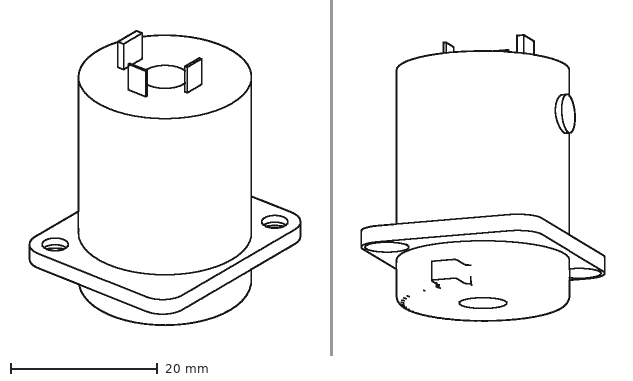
import cadquery as cq
import math

plate_width = 26.0
plate_length = 31.0
total_height = 36.5
plate_bottom = 6.0
plate_thickness = 2.25
corner_radius = 3.5

barrel_radius = 11.8
bore_radius = 3.25
terminal_height = 3.98
barrel_height = total_height - terminal_height
nose_fillet = 1.0

hole_diameter = 3.55
countersink_diameter = 6.0
countersink_angle = 90
hole_x = plate_width / 2 - corner_radius
hole_y = plate_length / 2 - corner_radius

button_radius = 2.63
button_height = 25.5
button_face_x = -12.4

tab_height = 2.63
tab_corner_radius = 0.4
tab_flare_radius = 0.88
tab_flare_start_y = 12.38
tab_end_y = plate_length / 2

blade_width = 3.05
terminals = [
    (-6.17, 0, 1.02, 4.0),
    (5.0, 0, 0.4, blade_width),
    (0, -5.85, blade_width, 0.3),
]


def make_barrel():
    barrel = cq.Workplane("XY").circle(barrel_radius).extrude(barrel_height)
    return barrel.faces("<Z").edges().fillet(nose_fillet)


def make_plate():
    plate = (
        cq.Workplane("XY", origin=(0, 0, plate_bottom))
        .rect(plate_width, plate_length)
        .extrude(plate_thickness)
        .edges("|Z")
        .fillet(corner_radius)
    )
    return (
        plate.faces("<Z")
        .workplane(origin=(0, 0, plate_bottom))
        .pushPoints([(hole_x, -hole_y), (-hole_x, hole_y)])
        .cskHole(hole_diameter, countersink_diameter, countersink_angle)
    )


def make_button():
    """Disc facing -X, rooted halfway into the barrel wall."""
    root_x = -(barrel_radius + bore_radius) / 2
    return (
        cq.Workplane("YZ", origin=(button_face_x, 0, 0))
        .center(0, button_height)
        .circle(button_radius)
        .extrude(root_x - button_face_x)
    )


def make_tab():
    """Straight tab whose sides flare tangentially into the barrel."""
    flare_reach = barrel_radius + tab_flare_radius
    flare_x = math.sqrt(flare_reach**2 - tab_flare_start_y**2)
    half_width = flare_x - tab_flare_radius
    contact_angle = math.atan2(tab_flare_start_y, flare_x)

    def polar(radius):
        return radius * math.cos(contact_angle), radius * math.sin(contact_angle)

    middle_angle = (math.pi + math.pi + contact_angle) / 2
    flare_middle_x = flare_x + tab_flare_radius * math.cos(middle_angle)
    flare_middle_y = tab_flare_start_y + tab_flare_radius * math.sin(middle_angle)

    root_x, root_y = polar(barrel_radius - 2 * nose_fillet)
    contact_x, contact_y = polar(barrel_radius)
    tab = (
        cq.Workplane("XY")
        .moveTo(-root_x, root_y)
        .lineTo(root_x, root_y)
        .lineTo(contact_x, contact_y)
        .threePointArc((flare_middle_x, flare_middle_y), (half_width, tab_flare_start_y))
        .lineTo(half_width, tab_end_y)
        .lineTo(-half_width, tab_end_y)
        .lineTo(-half_width, tab_flare_start_y)
        .threePointArc((-flare_middle_x, flare_middle_y), (-contact_x, contact_y))
        .close()
        .extrude(tab_height)
    )
    return tab.faces(">Y").edges("|Z").fillet(tab_corner_radius)


def make_terminal(x, y, size_x, size_y):
    return (
        cq.Workplane("XY", origin=(x, y, barrel_height))
        .rect(size_x, size_y)
        .extrude(terminal_height)
    )


body = make_barrel().union(make_plate()).union(make_button()).union(make_tab())
for terminal in terminals:
    body = body.union(make_terminal(*terminal))

bore = cq.Workplane("XY").circle(bore_radius).extrude(barrel_height)
result = body.cut(bore)